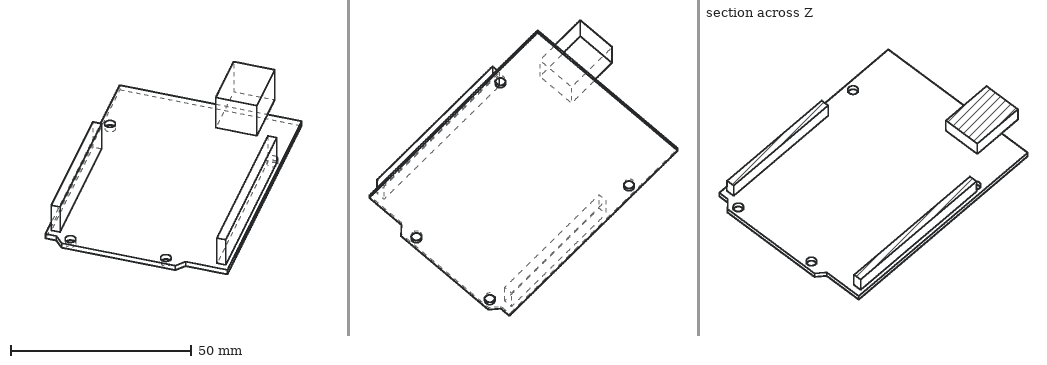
import cadquery as cq

board_width = 53.0
board_length = 71.3
board_thickness = 1.6
hole_diameter = 3.0

tongue_depth = 2.6
tongue_root_left = 3.2
tongue_root_right = 40.8
tongue_tip_left = 5.5
tongue_tip_right = 38.6

front_hole_y = 2.5
hole_centres = [
    (7.3, front_hole_y),
    (35.1, front_hole_y),
    (2.6, 54.2),
    (50.15, 53.05),
]

header_width = 2.6
header_height = 9.0
header_edge_gap = 1.1
header_front_y = 4.5
left_header_length = 38.5
right_header_length = 47.2

connector_left = 31.05
connector_width = 12.0
connector_length = 16.6
connector_height = 10.8
connector_overhang = 6.7


def block_on_board(x, y, width, length, height):
    """Box standing on the board, placed by its front left corner."""
    block = cq.Workplane("XY").box(width, length, height, centered=False)
    return block.translate((x, y, board_thickness))


def make_board():
    """Flat board with the front tongue and the mounting holes."""
    outline = [
        (0, tongue_depth),
        (tongue_root_left, tongue_depth),
        (tongue_tip_left, 0),
        (tongue_tip_right, 0),
        (tongue_root_right, tongue_depth),
        (board_width, tongue_depth),
        (board_width, board_length),
        (0, board_length),
    ]
    board = cq.Workplane("XY").polyline(outline).close().extrude(board_thickness)
    holes = (
        cq.Workplane("XY")
        .pushPoints(hole_centres)
        .circle(hole_diameter / 2)
        .extrude(board_thickness)
    )
    return board.cut(holes)


left_header = block_on_board(
    header_edge_gap, header_front_y, header_width, left_header_length, header_height
)
right_header = block_on_board(
    board_width - header_edge_gap - header_width,
    header_front_y,
    header_width,
    right_header_length,
    header_height,
)
connector = block_on_board(
    connector_left,
    board_length + connector_overhang - connector_length,
    connector_width,
    connector_length,
    connector_height,
)

result = make_board().union(left_header).union(right_header).union(connector)